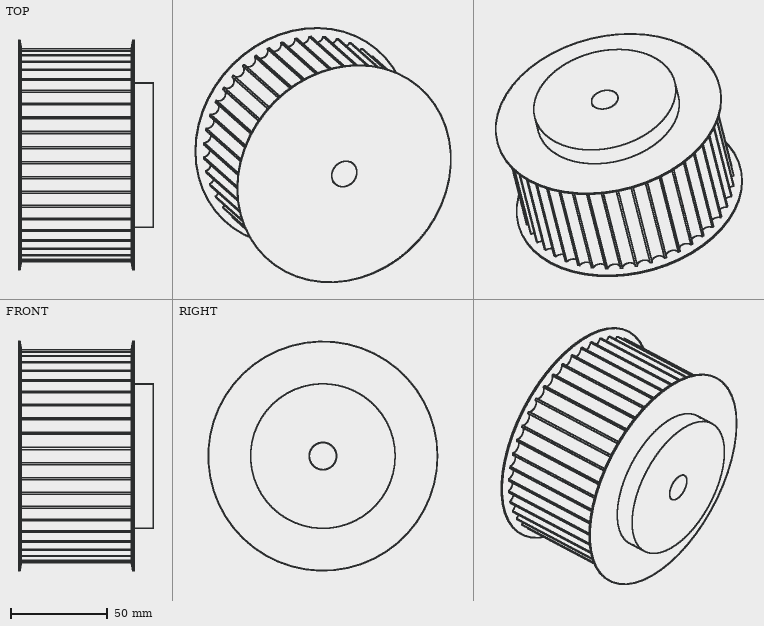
import cadquery as cq
import math

bore_diameter = 14.0
hub_diameter = 75.0
hub_length = 10.0
rim_width = 60.0

tooth_count = 44
belt_pitch = 8.0
pitch_line_offset = 0.686
pitch_diameter = tooth_count * belt_pitch / math.pi
tip_radius = pitch_diameter / 2 - pitch_line_offset
groove_width = 6.8
groove_depth = groove_width / 2

flange_radius = 119.0 / 2
flange_thickness = 1.5
flange_edge_thickness = flange_thickness / 2


def make_flange():
    """Flange with its flat face at X = 0 and its cone towards +X."""
    half_section = [
        (0, 0),
        (0, flange_radius),
        (flange_edge_thickness, flange_radius),
        (flange_thickness, tip_radius),
        (flange_thickness, 0),
    ]
    axis_start = (0, 0, 0)
    axis_end = (1, 0, 0)
    return cq.Workplane("XY").polyline(half_section).close().revolve(360, axis_start, axis_end)


def make_toothed_rim():
    """Toothed cylinder: narrow lands on the tip circle between round grooves."""
    pitch_angle = 2 * math.pi / tooth_count
    groove_half_angle = math.asin(groove_width / 2 / tip_radius)
    groove_bottom_radius = tip_radius - groove_depth

    def polar(radius, angle):
        return (radius * math.cos(angle), radius * math.sin(angle))

    outline = cq.Workplane("YZ").moveTo(*polar(tip_radius, -groove_half_angle))
    for tooth in range(tooth_count):
        groove_angle = tooth * pitch_angle
        land_angle = groove_angle + pitch_angle / 2
        next_groove_start = groove_angle + pitch_angle - groove_half_angle
        outline = outline.threePointArc(
            polar(groove_bottom_radius, groove_angle),
            polar(tip_radius, groove_angle + groove_half_angle),
        )
        outline = outline.threePointArc(
            polar(tip_radius, land_angle),
            polar(tip_radius, next_groove_start),
        )
    return outline.close().extrude(rim_width)


def make_hub():
    """Plain hub running through the rim and standing out on the +X side."""
    return cq.Workplane("YZ").circle(hub_diameter / 2).extrude(rim_width + hub_length)


def make_bore():
    """Cylinder for the bore through the full length of the pulley."""
    return cq.Workplane("YZ").circle(bore_diameter / 2).extrude(rim_width + hub_length)


near_flange = make_flange()
far_flange = near_flange.mirror("YZ").translate((rim_width, 0, 0))

result = make_toothed_rim().union(near_flange).union(far_flange).union(make_hub()).cut(make_bore())